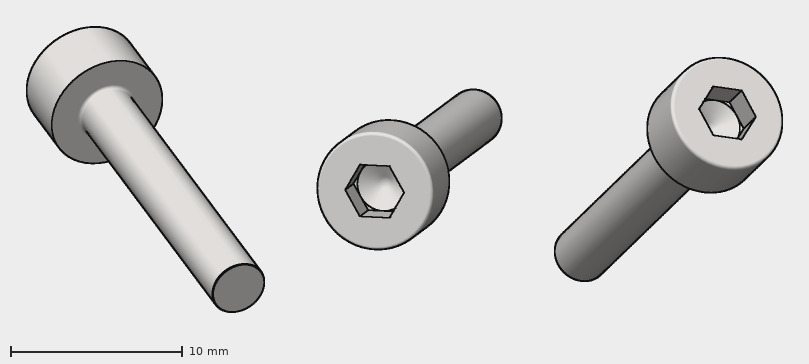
import cadquery as cq
import math

head_diameter = 7.0
head_length = 4.0
head_edge_radius = 0.2

shank_diameter = 3.3
total_length = 24.0
shank_tip_chamfer = 0.04
underhead_radius = 0.2

socket_across_flats = 3.07
socket_depth = 2.0
drill_point_angle = 120.0

axis_plane = cq.Workplane("YZ")


def make_head():
    head = axis_plane.circle(head_diameter / 2).extrude(head_length)
    return head.faces("<X").edges().fillet(head_edge_radius)


def make_shank():
    """Half profile revolved about X, flaring in a concave fillet to the underside of the head."""
    radius = shank_diameter / 2
    fillet_end = head_length + underhead_radius
    profile = (
        cq.Workplane("XY")
        .moveTo(head_length, 0)
        .lineTo(head_length, radius + underhead_radius)
        .radiusArc((fillet_end, radius), -underhead_radius)
        .lineTo(total_length - shank_tip_chamfer, radius)
        .lineTo(total_length, radius - shank_tip_chamfer)
        .lineTo(total_length, 0)
        .close()
    )
    return profile.revolve(360, (0, 0, 0), (1, 0, 0))


def make_socket():
    """Hexagonal prism, with flats facing up and down, ending in a cone as wide as the flats."""
    across_corners = socket_across_flats / math.cos(math.pi / 6)
    prism = axis_plane.polygon(6, across_corners).extrude(socket_depth)
    cone_radius = socket_across_flats / 2
    cone_length = cone_radius / math.tan(math.radians(drill_point_angle / 2))
    cone = cq.Solid.makeCone(
        cone_radius, 0, cone_length, cq.Vector(socket_depth, 0, 0), cq.Vector(1, 0, 0)
    )
    return prism.union(cq.Workplane(cone))


result = make_head().union(make_shank()).cut(make_socket())